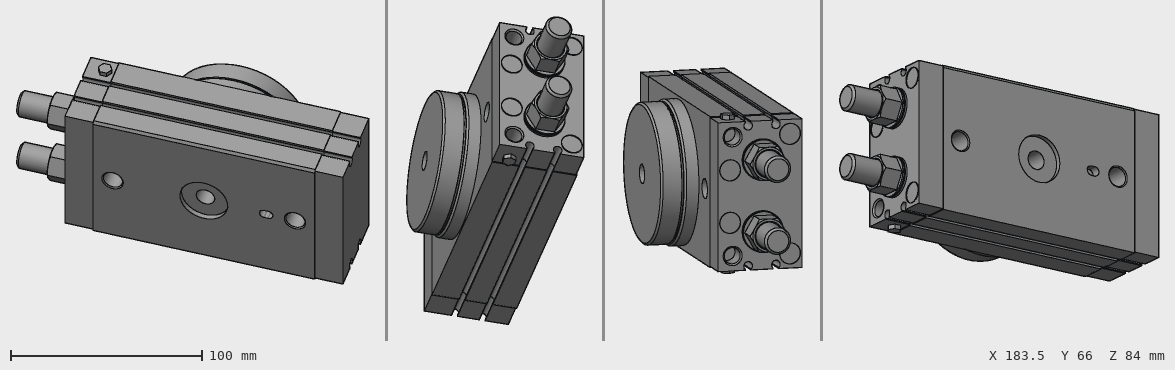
import cadquery as cq
import math


total_length = 183.5
total_depth = 66.0
total_height = 84.0

body_length = 121.3
body_height = 80.2
body_depth = 45.9
cap_length = 15.5
cap_height = 79.0
cap_front_inset = 0.4
bevel_depth = 1.1
bevel_height = 1.7

cap_outer_x = body_length / 2 + cap_length
screw_tip_x = cap_outer_x - total_length

groove_positions_y = (14.5, 29.5)
groove_mouth_width = 3.1
groove_bore_diameter = 4.5
groove_bore_z = 37.3

boss_diameter = 77.0
boss_height = 7.7
rim_chamfer = 1.1
mount_hole_x = 50.0
mount_hole_diameter = 10.5
mount_hole_chamfer = 0.65
pilot_diameter = 26.0
pilot_depth = 3.0
axis_hole_diameter = 10.1
locating_slot_x = 34.1
locating_slot_length = 7.3
locating_slot_width = 5.1
locating_slot_depth = 5.5

table_diameter = 74.9
table_gap = 1.1
table_neck_inset = 1.0

port_y = 38.0
port_z = 31.5
port_diameter = 8.6
port_depth = 11.0
port_chamfer = 0.83
recess_diameter = 11.2
recess_depth = 0.5
upper_recess_y, upper_recess_z = 39.3, 14.0
corner_recess_y, corner_recess_z = 6.8, 31.7
plug_from_cap_end = 10.3
plug_across_flats = 6.5

screw_y = 22.0
screw_z = 19.0
screw_diameter = 14.1
screw_tip_chamfer = 1.3
nut_across_flats = 17.6
nut_length = 11.0
nut_chamfer_length = 0.7
nut_bore_chamfer = 0.5
washer_diameter = 21.7
washer_thickness = 2.8
washer_groove_width = 0.5
washer_groove_depth = 0.28


def block(x_min, length, y_min, y_max, height):
    """Box centred on Z = 0, running along +X from x_min."""
    return (
        cq.Workplane("XY")
        .box(length, y_max - y_min, height, centered=(False, False, True))
        .translate((x_min, y_min, 0))
    )


def cylinder_y(x, y_min, length, diameter):
    """Cylinder parallel to Y, centred on Z = 0."""
    axis = cq.Vector(0, 1, 0)
    solid = cq.Solid.makeCylinder(diameter / 2, length, cq.Vector(x, y_min, 0), axis)
    return cq.Workplane(obj=solid)


def cylinder_x(x_min, length, y, z, diameter):
    """Cylinder parallel to X."""
    axis = cq.Vector(1, 0, 0)
    solid = cq.Solid.makeCylinder(diameter / 2, length, cq.Vector(x_min, y, z), axis)
    return cq.Workplane(obj=solid)


def countersink(hole_diameter, chamfer, start, direction):
    """Cone that breaks the edge of a hole at 45 degrees."""
    radius = hole_diameter / 2
    solid = cq.Solid.makeCone(radius + chamfer, radius, chamfer, cq.Vector(*start), cq.Vector(*direction))
    return cq.Workplane(obj=solid)


def hexagon_diameter(across_flats):
    """Diameter of the circle through the corners of a hexagon."""
    return across_flats / math.cos(math.pi / 6)


def cut_sensor_grooves(blank, x_min, length):
    """Cut keyhole-shaped grooves through the top and bottom faces."""
    mouth_height = body_height / 2 - groove_bore_z
    for side in (1, -1):
        for y in groove_positions_y:
            mouth = (
                cq.Workplane("XY")
                .box(length, groove_mouth_width, mouth_height, centered=(False, True, True))
                .translate((x_min, y, side * (groove_bore_z + mouth_height / 2)))
            )
            bore = cylinder_x(x_min, length, y, side * groove_bore_z, groove_bore_diameter)
            blank = blank.cut(mouth).cut(bore)
    return blank


def make_body():
    body = block(-body_length / 2, body_length, 0, body_depth, body_height)

    top_z = body_height / 2
    bevel = (
        cq.Workplane("YZ", origin=(-body_length / 2, 0, 0))
        .polyline([(0, top_z - bevel_height), (bevel_depth, top_z), (0, top_z)])
        .close()
        .extrude(body_length)
    )
    body = cut_sensor_grooves(body.cut(bevel), -body_length / 2, body_length)

    boss = cylinder_y(0, body_depth, boss_height, boss_diameter).faces(">Y").chamfer(rim_chamfer)
    body = body.union(boss)

    body = body.cut(cylinder_y(0, 0, pilot_depth, pilot_diameter))
    body = body.cut(cylinder_y(0, 0, total_depth, axis_hole_diameter))

    for x in (-mount_hole_x, mount_hole_x):
        body = body.cut(cylinder_y(x, 0, body_depth, mount_hole_diameter))
        body = body.cut(countersink(mount_hole_diameter, mount_hole_chamfer, (x, 0, 0), (0, 1, 0)))

    locating_slot = (
        cq.Workplane("XZ")
        .center(locating_slot_x, 0)
        .slot2D(locating_slot_length, locating_slot_width)
        .extrude(-locating_slot_depth)
    )
    return body.cut(locating_slot)


def make_table():
    neck_y = body_depth + boss_height
    disc_y = neck_y + table_gap
    disc = cylinder_y(0, disc_y, total_depth - disc_y, table_diameter).faces(">Y").chamfer(rim_chamfer)
    neck = cylinder_y(0, neck_y, table_gap, table_diameter - 2 * table_neck_inset)
    table = disc.union(neck)
    return table.cut(cylinder_y(0, neck_y, total_depth, axis_hole_diameter))


def make_plain_cap(x_min):
    cap = block(x_min, cap_length, cap_front_inset, body_depth, cap_height)
    return cut_sensor_grooves(cap, x_min, cap_length)


def make_left_cap():
    cap = make_plain_cap(-cap_outer_x)
    for side in (1, -1):
        cap = cap.cut(cylinder_x(-cap_outer_x, port_depth, port_y, side * port_z, port_diameter))
        port_start = (-cap_outer_x, port_y, side * port_z)
        cap = cap.cut(countersink(port_diameter, port_chamfer, port_start, (1, 0, 0)))

        for y, z in ((upper_recess_y, upper_recess_z), (corner_recess_y, corner_recess_z)):
            cap = cap.cut(cylinder_x(-cap_outer_x, recess_depth, y, side * z, recess_diameter))
    return cap


def make_right_cap():
    return make_plain_cap(body_length / 2)


def make_adjuster(z):
    """Adjusting screw with lock nut and seal washer, seated on the left cap."""
    washer_x = -cap_outer_x - washer_thickness
    nut_x = washer_x - nut_length

    shank = (
        cylinder_x(screw_tip_x, washer_x - screw_tip_x, screw_y, z, screw_diameter)
        .faces("<X")
        .chamfer(screw_tip_chamfer)
    )

    corner_diameter = hexagon_diameter(nut_across_flats)
    nut = cq.Workplane("YZ", origin=(nut_x, screw_y, z)).polygon(6, corner_diameter).extrude(nut_length)
    turned_envelope = (
        cylinder_x(nut_x, nut_length, screw_y, z, corner_diameter)
        .faces("<X")
        .chamfer(nut_chamfer_length, (corner_diameter - nut_across_flats) / 2)
    )
    nut = nut.intersect(turned_envelope)
    nut = nut.cut(countersink(screw_diameter, nut_bore_chamfer, (nut_x, screw_y, z), (1, 0, 0)))

    washer = cylinder_x(washer_x, washer_thickness, screw_y, z, washer_diameter)
    groove_x = washer_x + (washer_thickness - washer_groove_width) / 2
    groove_floor_diameter = washer_diameter - 2 * washer_groove_depth
    rim_groove = cylinder_x(groove_x, washer_groove_width, screw_y, z, washer_diameter).cut(
        cylinder_x(groove_x, washer_groove_width, screw_y, z, groove_floor_diameter)
    )
    return shank.union(nut).union(washer.cut(rim_groove))


def make_plug(side):
    """Hexagon plug on the top (side = 1) or bottom (side = -1) face of the left cap."""
    height = (total_height - cap_height) / 2
    return (
        cq.Workplane("XY", origin=(-cap_outer_x + plug_from_cap_end, port_y, side * cap_height / 2))
        .polygon(6, hexagon_diameter(plug_across_flats))
        .extrude(side * height)
    )


body = make_body()
table = make_table()
left_cap = make_left_cap()
right_cap = make_right_cap()
adjusters = [make_adjuster(z) for z in (screw_z, -screw_z)]
plugs = [make_plug(side) for side in (1, -1)]

result = cq.Compound.makeCompound(
    [
        body.solids().val(),
        table.solids().val(),
        left_cap.solids().val(),
        right_cap.solids().val(),
        *[adjuster.solids().val() for adjuster in adjusters],
        *[plug.solids().val() for plug in plugs],
    ]
)